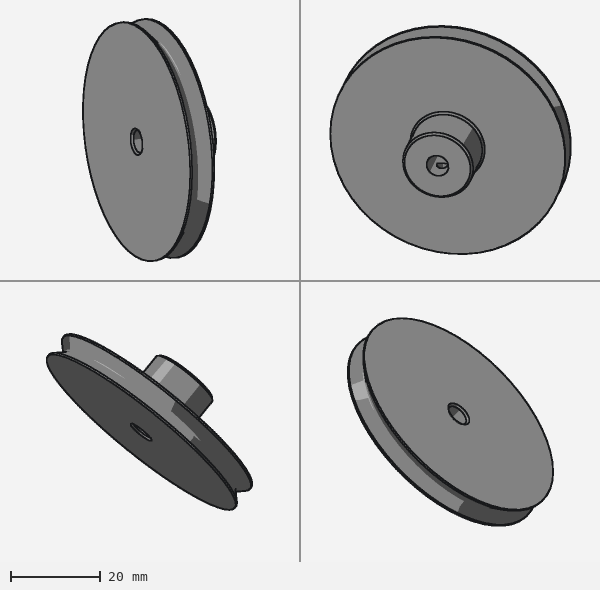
import cadquery as cq
import math

wheel_diameter = 53.6
wheel_width = 6.0
hub_diameter = 16.0
overall_length = 16.0
bore_diameter = 5.0
set_screw_diameter = 2.5
edge_size = 0.5

wheel_radius = wheel_diameter / 2
hub_radius = hub_diameter / 2
bore_radius = bore_diameter / 2
mid_width = wheel_width / 2
set_screw_y = (wheel_width + overall_length) / 2

groove_half_width = mid_width - edge_size
sharp_root_radius = wheel_radius - groove_half_width
root_half_width = edge_size * math.sin(math.radians(45))
root_edge_radius = sharp_root_radius + root_half_width
root_bottom_radius = sharp_root_radius + edge_size * (math.sqrt(2) - 1)


def make_body():
    """Revolve the half section (X = radius, Y = axial position) about Y."""
    profile = (
        cq.Workplane("XY")
        .moveTo(bore_radius + edge_size, 0)
        .lineTo(wheel_radius, 0)
        .lineTo(wheel_radius, edge_size)
        .lineTo(root_edge_radius, mid_width - root_half_width)
        .threePointArc(
            (root_bottom_radius, mid_width),
            (root_edge_radius, mid_width + root_half_width),
        )
        .lineTo(wheel_radius, wheel_width - edge_size)
        .lineTo(wheel_radius, wheel_width)
        .lineTo(hub_radius + edge_size, wheel_width)
        .lineTo(hub_radius, wheel_width + edge_size)
        .lineTo(hub_radius, overall_length - edge_size)
        .lineTo(hub_radius - edge_size, overall_length)
        .lineTo(bore_radius, overall_length)
        .lineTo(bore_radius, edge_size)
        .close()
    )
    return profile.revolve(360, (0, 0, 0), (0, 1, 0))


def make_set_screw_hole():
    """Radial hole from the bore out through the -Z side of the hub."""
    return (
        cq.Workplane("XY")
        .center(0, set_screw_y)
        .circle(set_screw_diameter / 2)
        .extrude(-hub_radius)
    )


result = make_body().cut(make_set_screw_hole())